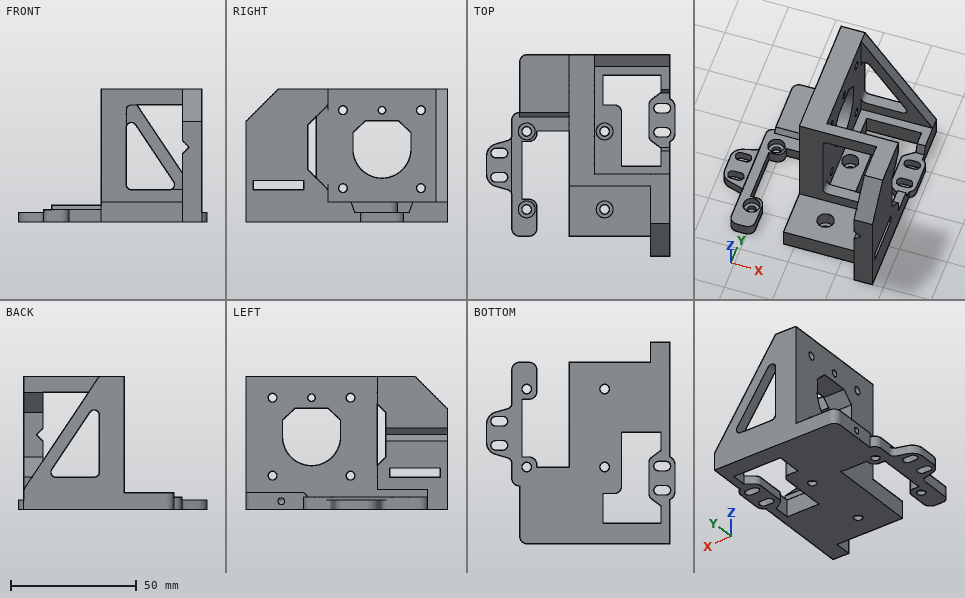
import cadquery as cq
import math


height = 53.0
body_width = 40.0
body_depth = 52.3
plate_thickness = 10.0
web_thickness = 4.7
floor_height = 8.0

ledge_reach = 20.0
end_plate_reach = 28.0
end_plate_thickness = 7.7
end_plate_left = body_width - end_plate_thickness
end_plate_chamfer = 13.0
groove_height = 29.8
groove_half_width = 2.6
strap_slot_length = 20.0
strap_slot_height = 3.6
strap_slot_margin = 3.0
strap_slot_bottom = 12.9

opening_bottom = 12.9
opening_top = 46.6
opening_end_plate_reach = 3.3
opening_fillet = 2.0

motor_y = body_depth / 2
motor_z = 29.0
motor_hole_spacing = 31.0
motor_screw_diameter = 3.4
set_hole_diameter = 2.9
motor_bore_radius = 11.5
bore_top = 40.3
bore_chamfer_width = 5.0
bore_chamfer_height = 4.7

brace_thickness = web_thickness
brace_hole_top_edge = 44.2
brace_fillet = 2.0

window_back = 44.0
window_front = 7.9
window_step = 32.3
window_left_back = 13.5
window_left_front = 20.9
window_right = 36.5
window_fillet = 3.0

mount_spacing = 31.0
mount_hole_diameter = 3.7
counterbore_diameter = 6.7
mount_x = 14.1
mount_y = 21.7
mount_seat = 2.0

flange_reach = 19.7
flange_height = 6.8
flange_front = 27.5
flange_fillet = 3.0
foot_height = 5.0
foot_outer = -22.9
foot_inner = -18.7
foot_pad_inner = -12.8
foot_back = 29.3
foot_link_front = 21.8
foot_slot_back = 17.7
foot_slot_front = -5.2
foot_fillet = 3.2
pilot_y = 38.2
pilot_z = 3.3
pilot_diameter = 2.7
pilot_depth = 10.0
drill_tip_angle = 118.0

tab_height = 3.9
tab_slot_length = 6.6
tab_slot_width = 3.7
tab_slot_spacing = 9.6
tab_slot_inset = 5.1
tab_taper_angle = 16.0
tab_slope = math.tan(math.radians(tab_taper_angle))
left_tab_y = 8.3
left_tab_reach = 10.0
left_tab_half = 7.4
left_tab_fillet = 5.0
left_tab_root_fillet = 2.0
left_tab_root_overlap = 3.0
right_tab_y = motor_y
right_tab_left = 31.7
right_tab_right = 42.1
right_tab_inner_half = 7.5
right_tab_root_half = 11.1
right_tab_outer_half = 8.0
right_tab_inner_fillet = 2.5
right_tab_outer_fillet = 3.5

rim_notch_half = 10.8
rim_notch_flare = 1.5


def box(x0, x1, y0, y1, z0, z1):
    """Axis-aligned block between two opposite corners."""
    return cq.Workplane("XY").box(x1 - x0, y1 - y0, z1 - z0, centered=False).translate((x0, y0, z0))


def prism_x(points, x0, x1):
    """Outline of (y, z) points extruded along X."""
    return cq.Workplane("YZ").polyline(points).close().extrude(x1 - x0).translate((x0, 0, 0))


def prism_y(points, y0, y1):
    """Outline of (x, z) points extruded along Y."""
    return cq.Workplane("XZ").polyline(points).close().extrude(y0 - y1).translate((0, y0, 0))


def prism_z(points, depth):
    """Outline of (x, y) points extruded up from the underside."""
    return cq.Workplane("XY").polyline(points).close().extrude(depth)


def fillet_at(solid, x, y, radius):
    """Round the vertical edge that passes through (x, y)."""
    reach = 0.05
    selector = cq.selectors.BoxSelector(
        (x - reach, y - reach, -height), (x + reach, y + reach, height)
    )
    return solid.edges("|Z").edges(selector).fillet(radius)


def make_body():
    """Motor plate, web, floor and front ledge."""
    plate = box(0, plate_thickness, 0, body_depth, 0, height)
    web = box(0, body_width, 0, web_thickness, 0, height)
    floor = box(0, body_width, -ledge_reach, body_depth, 0, floor_height)
    return plate.union(web).union(floor)


def make_end_plate():
    """Upright plate with a chamfered top corner."""
    chamfer_y = end_plate_chamfer - end_plate_reach
    outline = [
        (-end_plate_reach, 0),
        (web_thickness, 0),
        (web_thickness, height),
        (chamfer_y, height),
        (-end_plate_reach, height - end_plate_chamfer),
    ]
    return prism_x(outline, end_plate_left, body_width)


def make_end_plate_cuts():
    """V groove along the inner face and the strap slot through the plate."""
    groove = prism_y(
        [
            (end_plate_left, groove_height - groove_half_width),
            (end_plate_left + groove_half_width, groove_height),
            (end_plate_left, groove_height + groove_half_width),
        ],
        -end_plate_reach,
        0,
    )
    slot_front = strap_slot_margin - end_plate_reach
    slot = box(
        end_plate_left,
        body_width,
        slot_front,
        slot_front + strap_slot_length,
        strap_slot_bottom,
        strap_slot_bottom + strap_slot_height,
    )
    return groove.union(slot)


def make_opening():
    """Web opening that flares backward at 45 degrees through the end plate."""
    web_opening = box(plate_thickness, end_plate_left, 0, web_thickness, opening_bottom, opening_top)
    web_opening = web_opening.edges("|Y and <X").fillet(opening_fillet)
    flare = web_thickness + opening_end_plate_reach
    side_opening = prism_x(
        [
            (web_thickness, opening_bottom),
            (web_thickness, opening_top),
            (-opening_end_plate_reach, opening_top - flare),
            (-opening_end_plate_reach, opening_bottom + flare),
        ],
        end_plate_left,
        body_width,
    )
    return web_opening.union(side_opening)


def make_brace():
    """Triangular gusset along the back edge with a rounded triangular hole."""
    back = body_depth
    front = body_depth - brace_thickness
    rise = height - floor_height
    run = body_width - plate_thickness
    gusset = prism_y(
        [(plate_thickness, floor_height), (body_width, floor_height), (plate_thickness, height)],
        front,
        back,
    )
    slope = rise / run
    hole_corner = plate_thickness + (brace_hole_top_edge - opening_bottom) / slope
    hole = prism_y(
        [
            (plate_thickness, opening_bottom),
            (hole_corner, opening_bottom),
            (plate_thickness, brace_hole_top_edge),
        ],
        front,
        back,
    )
    return gusset.cut(hole.edges("|Y").fillet(brace_fillet))


def make_motor_cuts():
    """Motor bore with a clipped square top, and the screw holes around it."""
    left = motor_y - motor_bore_radius
    right = motor_y + motor_bore_radius
    shoulder = bore_top - bore_chamfer_height
    bore = (
        cq.Workplane("YZ")
        .moveTo(left, motor_z)
        .lineTo(left, shoulder)
        .lineTo(left + bore_chamfer_width, bore_top)
        .lineTo(right - bore_chamfer_width, bore_top)
        .lineTo(right, shoulder)
        .lineTo(right, motor_z)
        .threePointArc((motor_y, motor_z - motor_bore_radius), (left, motor_z))
        .close()
        .extrude(plate_thickness)
    )
    centre = cq.Workplane("YZ").center(motor_y, motor_z)
    screws = (
        centre.rect(motor_hole_spacing, motor_hole_spacing, forConstruction=True)
        .vertices()
        .circle(motor_screw_diameter / 2)
        .extrude(plate_thickness)
    )
    set_hole = (
        centre.center(0, motor_hole_spacing / 2).circle(set_hole_diameter / 2).extrude(plate_thickness)
    )
    return bore.union(screws).union(set_hole)


def make_floor_window():
    """Stepped opening through the floor."""
    window = prism_z(
        [
            (window_left_back, window_back),
            (window_right, window_back),
            (window_right, window_front),
            (window_left_front, window_front),
            (window_left_front, window_step),
            (window_left_back, window_step),
        ],
        floor_height,
    )
    return fillet_at(window, window_left_front, window_step, window_fillet)


def make_foot():
    """Flange beside the motor plate, joined to the thinner hooked foot."""
    step = flange_height - foot_height
    flange = prism_x(
        [
            (flange_front, 0),
            (body_depth, 0),
            (body_depth, flange_height),
            (flange_front + step, flange_height),
            (flange_front, foot_height),
        ],
        -flange_reach,
        0,
    )
    flange = fillet_at(flange, -flange_reach, body_depth, flange_fillet)
    hook = prism_z(
        [
            (0, foot_back),
            (foot_outer, foot_back),
            (foot_outer, -ledge_reach),
            (foot_pad_inner, -ledge_reach),
            (foot_pad_inner, foot_slot_front),
            (foot_inner, foot_slot_front),
            (foot_inner, foot_slot_back),
            (foot_pad_inner, foot_slot_back),
            (foot_pad_inner, foot_link_front),
            (0, foot_link_front),
        ],
        foot_height,
    )
    rounded_corners = [
        (foot_outer, foot_back),
        (foot_outer, -ledge_reach),
        (foot_pad_inner, -ledge_reach),
        (foot_pad_inner, foot_slot_front),
        (foot_pad_inner, foot_slot_back),
    ]
    for x, y in rounded_corners:
        hook = fillet_at(hook, x, y, foot_fillet)
    return flange.union(hook)


def make_pilot_hole():
    """Blind drilled hole with a conical tip in the flange side."""
    radius = pilot_diameter / 2
    tip = radius / math.tan(math.radians(drill_tip_angle / 2))
    profile = [(0, 0), (radius, 0), (radius, pilot_depth), (0, pilot_depth + tip)]
    drill = cq.Workplane("XY").polyline(profile).close().revolve(360, (0, 0, 0), (0, 1, 0))
    return drill.rotate((0, 0, 0), (0, 0, 1), -90).translate((-flange_reach, pilot_y, pilot_z))


def make_tab_slots(x, y):
    """Pair of slots elongated along X, centred on (x, y)."""
    centres = [(x, y - tab_slot_spacing / 2), (x, y + tab_slot_spacing / 2)]
    return cq.Workplane("XY").pushPoints(centres).slot2D(tab_slot_length, tab_slot_width).extrude(tab_height)


def make_left_tab():
    """Tapered tab on the outer edge of the foot, with a wider root buried inside the foot."""
    tip = foot_outer - left_tab_reach
    root = foot_inner
    root_half = left_tab_half + left_tab_reach * tab_slope
    wide_half = root_half + left_tab_root_overlap
    outline = [
        (tip, left_tab_half),
        (foot_outer, root_half),
        (foot_outer, wide_half),
        (root, wide_half),
    ]
    mirrored = [(x, -y) for x, y in reversed(outline)]
    tab = prism_z([(x, y + left_tab_y) for x, y in outline + mirrored], tab_height)
    for side in (-1, 1):
        tab = fillet_at(tab, tip, left_tab_y + side * left_tab_half, left_tab_fillet)
        tab = fillet_at(tab, foot_outer, left_tab_y + side * root_half, left_tab_root_fillet)
    return tab


def make_right_tab():
    """Tab across the right rim, wider at the rim than at its inner edge."""
    outer_root_half = right_tab_outer_half + (right_tab_right - window_right) * tab_slope
    outline = [
        (right_tab_right, right_tab_outer_half),
        (window_right, outer_root_half),
        (window_right, right_tab_root_half),
        (right_tab_left, right_tab_inner_half),
    ]
    mirrored = [(x, -y) for x, y in reversed(outline)]
    tab = prism_z([(x, y + right_tab_y) for x, y in outline + mirrored], tab_height)
    for side in (-1, 1):
        outer_y = right_tab_y + side * right_tab_outer_half
        inner_y = right_tab_y + side * right_tab_inner_half
        tab = fillet_at(tab, right_tab_right, outer_y, right_tab_outer_fillet)
        tab = fillet_at(tab, right_tab_left, inner_y, right_tab_inner_fillet)
    return tab


def make_rim_notch():
    """Gap in the right rim above the tab, with slanted ends."""
    top_half = rim_notch_half + rim_notch_flare
    outline = [
        (right_tab_y - rim_notch_half, tab_height),
        (right_tab_y + rim_notch_half, tab_height),
        (right_tab_y + top_half, floor_height),
        (right_tab_y - top_half, floor_height),
    ]
    return prism_x(outline, window_right, body_width)


def make_mount_holes():
    """Counterbored holes at the corners of a square pattern."""
    holes = cq.Workplane("XY")
    for x in (mount_x, mount_x - mount_spacing):
        for y in (mount_y, mount_y - mount_spacing):
            drill = cq.Workplane("XY").center(x, y).circle(mount_hole_diameter / 2).extrude(floor_height)
            seat = (
                cq.Workplane("XY", origin=(x, y, mount_seat))
                .circle(counterbore_diameter / 2)
                .extrude(floor_height)
            )
            holes = holes.add(drill.union(seat))
    return holes.combine()


body = make_body().cut(make_floor_window()).cut(make_rim_notch())
body = body.union(make_brace()).union(make_end_plate())
body = body.cut(make_end_plate_cuts()).cut(make_opening()).cut(make_motor_cuts())
body = body.union(make_foot()).union(make_left_tab()).union(make_right_tab())
body = body.cut(make_pilot_hole()).cut(make_mount_holes())
body = body.cut(make_tab_slots(foot_outer - left_tab_reach + tab_slot_inset, left_tab_y))
result = body.cut(make_tab_slots(right_tab_right - tab_slot_inset, right_tab_y))